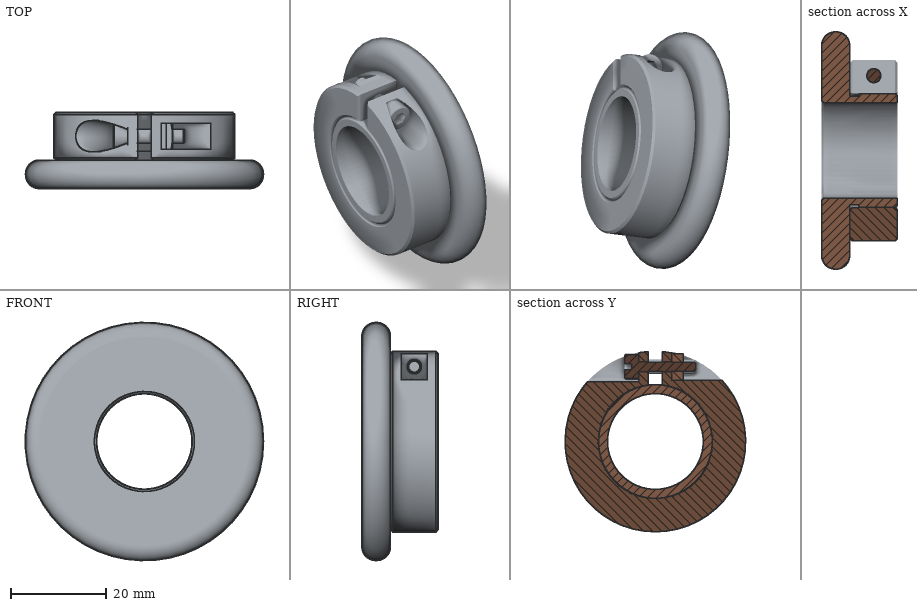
import cadquery as cq
import math

bore_diameter = 20.0
bore_chamfer = 0.5

flange_diameter = 50.0
flange_thickness = 6.0
rim_radius = flange_thickness / 2

hub_diameter = 24.0
hub_length = 10.0
hub_chamfer = 0.5
relief_width = 1.8
relief_depth = 0.5

collar_diameter = 38.0
collar_chamfer = 0.5
slot_width = 2.86

screw_diameter = 3.0
screw_length = 12.0
screw_tip_chamfer = 0.3
head_diameter = 5.5
head_height = 3.0
head_chamfer = 0.2
socket_width = 2.5
socket_sides = 6
socket_depth = 1.3
socket_point_angle = 120.0
counterbore_diameter = 6.6

nut_width = 5.5
nut_thickness = 2.4
nut_chamfer_angle = 15.0

screw_y = flange_thickness + hub_length / 2
screw_z = 15.7
seat_distance = 3.5
shank_start = -seat_distance
head_start = shank_start - head_height


def cylinder_along_y(diameter, y_start, length):
    plane = cq.Plane(origin=(0, y_start, 0), xDir=(1, 0, 0), normal=(0, 1, 0))
    return cq.Workplane(plane).circle(diameter / 2).extrude(length)


def screw_plane(x):
    """Plane across the screw axis at x, with its normal toward +X."""
    return cq.Workplane(cq.Plane(origin=(x, screw_y, screw_z), xDir=(0, 1, 0), normal=(1, 0, 0)))


def turned_about_screw(start_x, points):
    """Solid of revolution about the screw axis; points are (distance along X, radius)."""
    plane = cq.Plane(origin=(start_x, screw_y, screw_z), xDir=(1, 0, 0), normal=(0, 0, 1))
    return cq.Workplane(plane).polyline(points).close().revolve(360, (0, 0), (1, 0))


def make_flange():
    hub_end = flange_thickness + hub_length
    core_radius = flange_diameter / 2 - rim_radius
    core = cylinder_along_y(2 * core_radius, 0, flange_thickness)
    rim = (
        cq.Workplane("XY")
        .moveTo(core_radius, 0)
        .threePointArc((flange_diameter / 2, rim_radius), (core_radius, flange_thickness))
        .close()
        .revolve(360, (0, 0), (0, 1))
    )
    hub = cylinder_along_y(hub_diameter, flange_thickness, hub_length).faces(">Y").chamfer(hub_chamfer)
    relief = cylinder_along_y(hub_diameter, flange_thickness, relief_width).cut(
        cylinder_along_y(hub_diameter - 2 * relief_depth, flange_thickness, relief_width)
    )
    body = core.union(rim).union(hub.cut(relief))
    body = body.cut(cylinder_along_y(bore_diameter, 0, hub_end))
    return body.faces("<Y").edges(cq.selectors.RadiusNthSelector(0)).chamfer(bore_chamfer)


def make_collar():
    ring = cylinder_along_y(collar_diameter, flange_thickness, hub_length)
    ring = ring.cut(cylinder_along_y(hub_diameter, flange_thickness, hub_length))
    slot = cq.Workplane("XY").box(
        slot_width, flange_thickness + hub_length, collar_diameter, centered=(True, False, False)
    )
    collar = ring.cut(slot).faces("<Y or >Y").chamfer(collar_chamfer)

    collar_radius = collar_diameter / 2
    shank_hole = screw_plane(-seat_distance).circle(screw_diameter / 2).extrude(2 * seat_distance)
    counterbore = screw_plane(-seat_distance).circle(counterbore_diameter / 2).extrude(-collar_radius)
    nut_pocket = screw_plane(seat_distance).rect(nut_width, nut_width).extrude(collar_radius)
    return collar.cut(shank_hole).cut(counterbore).cut(nut_pocket)


def make_screw():
    head = screw_plane(head_start).circle(head_diameter / 2).extrude(head_height)
    head = head.faces("<X").chamfer(head_chamfer)
    shank = screw_plane(shank_start).circle(screw_diameter / 2).extrude(screw_length)
    shank = shank.faces(">X").chamfer(screw_tip_chamfer)

    socket_radius = socket_width / 2 / math.cos(math.pi / socket_sides)
    point_depth = socket_radius / math.tan(math.radians(socket_point_angle / 2))
    full_depth = socket_depth + point_depth
    hexagon = screw_plane(head_start).polygon(socket_sides, 2 * socket_radius).extrude(full_depth)
    drilled = turned_about_screw(
        head_start,
        [(0, 0), (0, socket_radius), (socket_depth, socket_radius), (full_depth, 0)],
    )
    return head.union(shank).cut(hexagon.intersect(drilled))


def make_nut():
    block = screw_plane(seat_distance).rect(nut_width, nut_width).extrude(nut_thickness)
    face_radius = nut_width / 2
    corner_radius = nut_width / math.sqrt(2)
    corner_drop = (corner_radius - face_radius) * math.tan(math.radians(nut_chamfer_angle))
    envelope = turned_about_screw(
        seat_distance,
        [
            (0, 0),
            (0, corner_radius),
            (nut_thickness - corner_drop, corner_radius),
            (nut_thickness, face_radius),
            (nut_thickness, 0),
        ],
    )
    hole = screw_plane(seat_distance).circle(screw_diameter / 2).extrude(nut_thickness)
    return block.intersect(envelope).cut(hole)


flange = make_flange()
collar = make_collar()
screw = make_screw()
nut = make_nut()

bodies = [flange, collar, screw, nut]
result = cq.Compound.makeCompound([body.solids().val() for body in bodies])